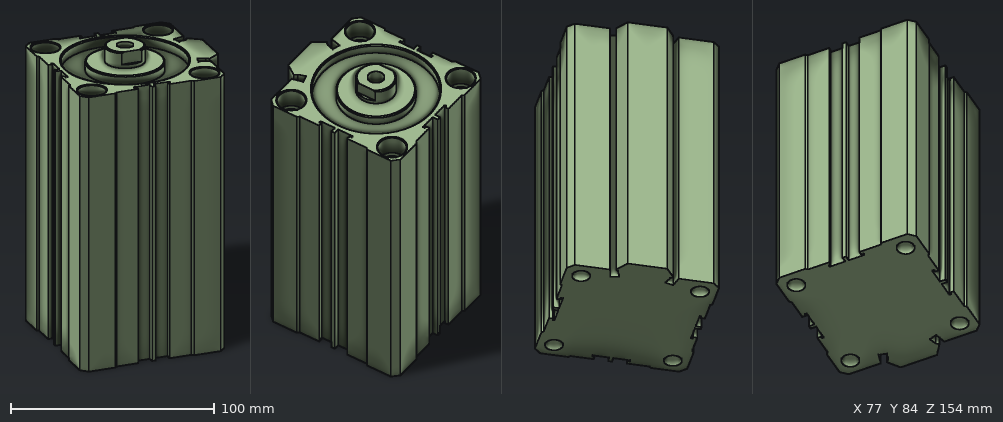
import cadquery as cq

OVERALL_HEIGHT = 154.0
ROD_PROJECTION = 8.0

BODY_WIDTH = 77.0
CORNER_CHAMFER = 3.4
RELIEF_HALF_WIDTH = 21.0
RELIEF_DEPTH = 1.0

SLOT_HALF_WIDTH = 8.3
SLOT_DEPTH = 4.0
UNDERCUT_HALF_WIDTH = 9.5
UNDERCUT_HEIGHT = 1.0
RIB_WIDTH = 2.0

RAIL_HEIGHT = 7.0
RAIL_TOP_HALF_WIDTH = 10.0
RAIL_HALF_WIDTH = 14.5
RAIL_NOSE_HEIGHT = 0.6
GROOVE_MOUTH_INNER_X = 13.1
GROOVE_MOUTH_OUTER_X = 17.4
GROOVE_FLOOR_INNER_X = 11.7
GROOVE_FLOOR_OUTER_X = 15.9
GROOVE_INNER_DEPTH = 4.8
GROOVE_OUTER_DEPTH = 6.0

HOLE_SPACING = 60.0
HOLE_DIAMETER = 9.0
COUNTERBORE_DIAMETER = 14.2
COUNTERBORE_DEPTH = 10.5
HOLE_CHAMFER = 0.5

RECESS_DIAMETER = 63.1
RECESS_DEPTH = 5.2
RECESS_CHAMFER = 0.6
COLLAR_DIAMETER = 39.5
COLLAR_CHAMFER = 0.6
COLLAR_DROP = 0.5

ROD_DIAMETER = 20.0
ROD_LENGTH = 123.2
ROD_CHAMFER = 0.6
FLAT_WIDTH = 17.0
FLAT_LENGTH = 6.5
TAP_DIAMETER = 8.3
TAP_DEPTH = 15.4

HALF_WIDTH = BODY_WIDTH / 2
BODY_HEIGHT = OVERALL_HEIGHT - ROD_PROJECTION
ROD_BASE_Z = OVERALL_HEIGHT - ROD_LENGTH
RECESS_FLOOR_Z = BODY_HEIGHT - RECESS_DEPTH
COLLAR_TOP_Z = BODY_HEIGHT - COLLAR_DROP
COUNTERBORE_FLOOR_Z = BODY_HEIGHT - COUNTERBORE_DEPTH


def cylinder(diameter, base_z, top_z):
    return cq.Workplane("XY").workplane(offset=base_z).circle(diameter / 2).extrude(top_z - base_z)


def chamfered_bore(diameter, floor_z, rim_z, chamfer):
    """Cutter for a round bore that widens by the chamfer at its rim."""
    radius = diameter / 2
    return (
        cq.Workplane("XZ")
        .moveTo(0, rim_z)
        .lineTo(radius + chamfer, rim_z)
        .lineTo(radius, rim_z - chamfer)
        .lineTo(radius, floor_z)
        .lineTo(0, floor_z)
        .close()
        .revolve(360, (0, 0, 0), (0, 1, 0))
    )


def front_face_bar(width, start_depth, end_depth):
    """Full-height bar centred on the front face, between two depths below it."""
    return (
        cq.Workplane("XY")
        .box(width, end_depth - start_depth, BODY_HEIGHT, centered=(True, False, False))
        .translate((0, start_depth - HALF_WIDTH, 0))
    )


def body_block():
    """Square with chamfered corners, and the rail and its grooves on the back face."""
    right_side = [
        (HALF_WIDTH - CORNER_CHAMFER, -HALF_WIDTH),
        (HALF_WIDTH, -HALF_WIDTH + CORNER_CHAMFER),
        (HALF_WIDTH, HALF_WIDTH - CORNER_CHAMFER),
        (HALF_WIDTH - CORNER_CHAMFER, HALF_WIDTH),
        (GROOVE_MOUTH_OUTER_X, HALF_WIDTH),
        (GROOVE_FLOOR_OUTER_X, HALF_WIDTH - GROOVE_OUTER_DEPTH),
        (GROOVE_FLOOR_INNER_X, HALF_WIDTH - GROOVE_INNER_DEPTH),
        (GROOVE_MOUTH_INNER_X, HALF_WIDTH + RAIL_NOSE_HEIGHT - (RAIL_HALF_WIDTH - GROOVE_MOUTH_INNER_X)),
        (RAIL_HALF_WIDTH, HALF_WIDTH + RAIL_NOSE_HEIGHT),
        (RAIL_TOP_HALF_WIDTH, HALF_WIDTH + RAIL_HEIGHT),
    ]
    left_side = [(-x, y) for x, y in reversed(right_side)]
    return cq.Workplane("XY").polyline(right_side + left_side).close().extrude(BODY_HEIGHT)


def face_relief():
    """Cutter for the shallow relief along the front face, with 45 degree ends."""
    floor_half_width = RELIEF_HALF_WIDTH - RELIEF_DEPTH
    floor_y = -HALF_WIDTH + RELIEF_DEPTH
    outline = [
        (-RELIEF_HALF_WIDTH, -HALF_WIDTH),
        (-floor_half_width, floor_y),
        (floor_half_width, floor_y),
        (RELIEF_HALF_WIDTH, -HALF_WIDTH),
    ]
    return cq.Workplane("XY").polyline(outline).close().extrude(BODY_HEIGHT)


def sensor_slot():
    """Cutter for the undercut slot in the front face, less the rib that divides it."""
    opening = front_face_bar(2 * SLOT_HALF_WIDTH, 0, SLOT_DEPTH)
    undercut = front_face_bar(2 * UNDERCUT_HALF_WIDTH, SLOT_DEPTH - UNDERCUT_HEIGHT, SLOT_DEPTH)
    rib = front_face_bar(RIB_WIDTH, RELIEF_DEPTH, SLOT_DEPTH)
    return opening.union(undercut).cut(rib)


def mounting_hole():
    """Cutter for a counterbored through hole on the Z axis, chamfered at both steps."""
    through_hole = chamfered_bore(HOLE_DIAMETER, 0, COUNTERBORE_FLOOR_Z, HOLE_CHAMFER)
    counterbore = chamfered_bore(COUNTERBORE_DIAMETER, COUNTERBORE_FLOOR_Z, BODY_HEIGHT, HOLE_CHAMFER)
    return through_hole.union(counterbore)


def collar_recess():
    """Cutter for the ring-shaped recess that leaves the chamfered collar standing just below the rim."""
    collar = cylinder(COLLAR_DIAMETER, RECESS_FLOOR_Z, COLLAR_TOP_Z).faces(">Z").chamfer(COLLAR_CHAMFER)
    return chamfered_bore(RECESS_DIAMETER, RECESS_FLOOR_Z, BODY_HEIGHT, RECESS_CHAMFER).cut(collar)


def make_housing():
    body = body_block()

    slot = face_relief().union(sensor_slot())
    for angle in (0, 90, -90):
        body = body.cut(slot.rotate((0, 0, 0), (0, 0, 1), angle))

    hole = mounting_hole()
    for x in (-HOLE_SPACING / 2, HOLE_SPACING / 2):
        for y in (-HOLE_SPACING / 2, HOLE_SPACING / 2):
            body = body.cut(hole.translate((x, y, 0)))

    rod_bore = cylinder(ROD_DIAMETER, ROD_BASE_Z, BODY_HEIGHT)
    return body.cut(collar_recess()).cut(rod_bore)


def make_rod():
    """Round rod with two wrench flats and a blind tapped hole at its top end."""
    shaft = cylinder(ROD_DIAMETER, ROD_BASE_Z, OVERALL_HEIGHT).faces(">Z").chamfer(ROD_CHAMFER)
    end_zone = cylinder(ROD_DIAMETER, OVERALL_HEIGHT - FLAT_LENGTH, OVERALL_HEIGHT)
    between_flats = cq.Workplane("XY").box(FLAT_WIDTH, ROD_DIAMETER, 2 * OVERALL_HEIGHT)
    tap = cylinder(TAP_DIAMETER, OVERALL_HEIGHT - TAP_DEPTH, OVERALL_HEIGHT)
    return shaft.cut(end_zone.cut(between_flats)).cut(tap)


housing = make_housing()
rod = make_rod()
result = cq.Compound.makeCompound([housing.solids().val(), rod.solids().val()])